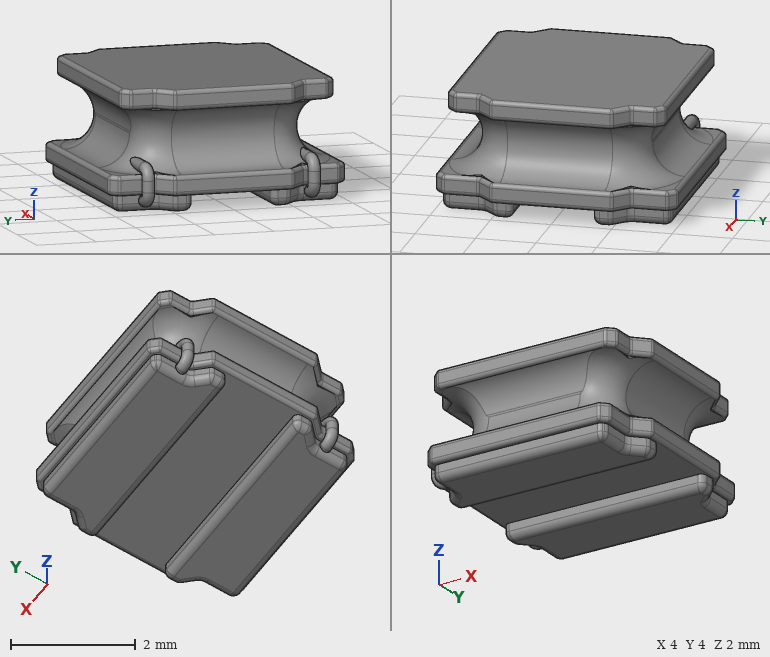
import cadquery as cq
import math

SIZE = 4.0
HEIGHT = 2.0

FLANGE_THICKNESS = 0.33
FLANGE_ROUND = 0.07
UPPER_DEPTH = 3.61
NOTCH_X = 1.74
SHOULDER_Y = 1.005
CORNER_CHAMFER = 0.145
POST_CORNER = 0.87

PAD_HEIGHT = 0.275
PAD_INSET = 0.105
PAD_INNER_Y = 0.67
PAD_ROUND = 0.105
PAD_NOTCH_ROUND = 0.165
PAD_BOTTOM_ROUND = 0.13
WIRE_DIAMETER = 0.2
WIRE_Y = 1.4
WIRE_UPPER_END_X = -1.0
WIRE_LOWER_END_X = -1.44

HALF = SIZE / 2
UPPER_HALF_DEPTH = UPPER_DEPTH / 2
NOTCH_Y = SHOULDER_Y + HALF - NOTCH_X
GROOVE_BOTTOM = PAD_HEIGHT + FLANGE_THICKNESS
GROOVE_TOP = HEIGHT - FLANGE_THICKNESS
GROOVE_RADIUS = (GROOVE_TOP - GROOVE_BOTTOM) / 2
GROOVE_MID = (GROOVE_TOP + GROOVE_BOTTOM) / 2
GROOVE_AXIS = HALF - FLANGE_ROUND
CUT_REACH = SIZE
BEND_SLIDE = math.tan(math.radians(22.5))


def notched_outline(half_depth, inset=0.0):
    """Counterclockwise points of the notched square, moved inward by inset."""
    slide = inset * BEND_SLIDE
    side_x = HALF - inset
    notch_x = NOTCH_X - inset
    end_y = half_depth - inset
    chamfer = CORNER_CHAMFER - inset + slide
    quarter = [
        (side_x, SHOULDER_Y - slide),
        (notch_x, NOTCH_Y - slide),
        (notch_x, end_y - chamfer),
        (notch_x - chamfer, end_y),
    ]
    half = quarter + [(-x, y) for x, y in reversed(quarter)]
    return half + [(-x, -y) for x, y in half]


def outline_plate(half_depth, inset, thickness):
    return cq.Workplane("XY").polyline(notched_outline(half_depth, inset)).close().extrude(thickness)


def flange(half_depth, base_z):
    plate = outline_plate(half_depth, 0.0, FLANGE_THICKNESS)
    return plate.edges().fillet(FLANGE_ROUND).translate((0, 0, base_z))


def groove_section(arc_x):
    """Semicircular groove profile about z = 0, open outward."""
    return (
        cq.Workplane("XZ")
        .moveTo(CUT_REACH, GROOVE_RADIUS)
        .lineTo(arc_x, GROOVE_RADIUS)
        .threePointArc((arc_x - GROOVE_RADIUS, 0), (arc_x, -GROOVE_RADIUS))
        .lineTo(CUT_REACH, -GROOVE_RADIUS)
        .close()
    )


def ring_groove_sides():
    """Four equal cutters around the post: a straight run and the round corner that follows it."""
    run = groove_section(GROOVE_AXIS).extrude(POST_CORNER, both=True)
    turn = groove_section(GROOVE_AXIS - POST_CORNER).revolve(90, (0, 0, 0), (0, 1, 0))
    side = run.union(turn.translate((POST_CORNER, POST_CORNER, 0)))
    return [side.rotate((0, 0, 0), (0, 0, 1), 90 * i) for i in range(4)]


def raised_grooves():
    """Along Y the upper flange ends short of the groove arc centre.  There the upper half of
    the arc stands on a low straight wall, so that it runs out exactly at the flange edge."""
    run_out = GROOVE_AXIS - (UPPER_HALF_DEPTH - FLANGE_ROUND)
    rise = GROOVE_RADIUS - math.sqrt(GROOVE_RADIUS**2 - run_out**2)
    wall_y = GROOVE_AXIS - GROOVE_RADIUS
    top_z = rise + GROOVE_RADIUS
    diagonal = GROOVE_RADIUS * math.sqrt(0.5)
    groove = (
        cq.Workplane("YZ")
        .moveTo(wall_y, 0)
        .lineTo(wall_y, rise)
        .threePointArc((GROOVE_AXIS - diagonal, rise + diagonal), (GROOVE_AXIS, top_z))
        .lineTo(CUT_REACH, top_z)
        .lineTo(CUT_REACH, 0)
        .close()
        .extrude(HALF, both=True)
    )
    return [groove, groove.mirror("XZ")]


def make_post():
    """Waisted post, its narrowest level at z = 0, reaching a little way into both flanges."""
    half_height = GROOVE_RADIUS + FLANGE_ROUND
    upper = outline_plate(UPPER_HALF_DEPTH, FLANGE_ROUND, half_height)
    lower = outline_plate(HALF, FLANGE_ROUND, -half_height)
    post = upper.union(lower)
    for cutter in ring_groove_sides() + raised_grooves():
        post = post.cut(cutter)
    return post


def make_core():
    post = make_post().translate((0, 0, GROOVE_MID))
    return post.union(flange(HALF, PAD_HEIGHT)).union(flange(UPPER_HALF_DEPTH, GROOVE_TOP))


def make_pad():
    """Pad along the -Y side, following the flange outline."""
    pad = outline_plate(HALF, PAD_INSET, PAD_HEIGHT)
    keep = cq.Workplane("XY").box(SIZE, HALF, SIZE).translate((0, -PAD_INNER_Y - HALF / 2, 0))
    pad = pad.intersect(keep)

    notch_x = NOTCH_X - PAD_INSET
    notch_y = NOTCH_Y - PAD_INSET * BEND_SLIDE
    for x in (-notch_x, notch_x):
        notch_edge = cq.NearestToPointSelector((x, -notch_y, PAD_HEIGHT / 2))
        pad = pad.edges(notch_edge).fillet(PAD_NOTCH_ROUND)

    outer = cq.selectors.BoxSelector((-HALF, -HALF, 0), (HALF, -WIRE_Y, PAD_HEIGHT))
    inner = cq.selectors.BoxSelector((-HALF, -SHOULDER_Y, 0), (HALF, 0, PAD_HEIGHT))
    pad = pad.edges("|Z").edges(outer + inner).fillet(PAD_ROUND)
    return pad.faces("<Z").edges().fillet(PAD_BOTTOM_ROUND)


def make_wire():
    """Wire at -Y wrapped around the rounded flange edge in the notch, from pad to post."""
    radius = WIRE_DIAMETER / 2
    bend = FLANGE_ROUND + radius
    diagonal = bend * math.sqrt(0.5)
    bend_x = FLANGE_ROUND - NOTCH_X
    lower_bend_z = PAD_HEIGHT + FLANGE_ROUND
    upper_bend_z = GROOVE_BOTTOM - FLANGE_ROUND
    lower_z = lower_bend_z - bend
    upper_z = upper_bend_z + bend
    path = (
        cq.Workplane("XZ", origin=(0, -WIRE_Y, 0))
        .moveTo(WIRE_LOWER_END_X, lower_z)
        .lineTo(bend_x, lower_z)
        .threePointArc((bend_x - diagonal, lower_bend_z - diagonal), (bend_x - bend, lower_bend_z))
        .lineTo(bend_x - bend, upper_bend_z)
        .threePointArc((bend_x - diagonal, upper_bend_z + diagonal), (bend_x, upper_z))
        .lineTo(WIRE_UPPER_END_X, upper_z)
    )
    section = cq.Workplane("YZ", origin=(WIRE_LOWER_END_X, -WIRE_Y, lower_z)).circle(radius)
    return section.sweep(path)


front_wire = make_wire()
front_terminal = make_pad().union(front_wire)
terminals = [front_terminal, front_terminal.mirror("XZ")]

core = make_core()
for wire in (front_wire, front_wire.mirror("XZ")):
    core = core.cut(wire)

result = cq.Compound.makeCompound([core.solids().val(), *[t.solids().val() for t in terminals]])